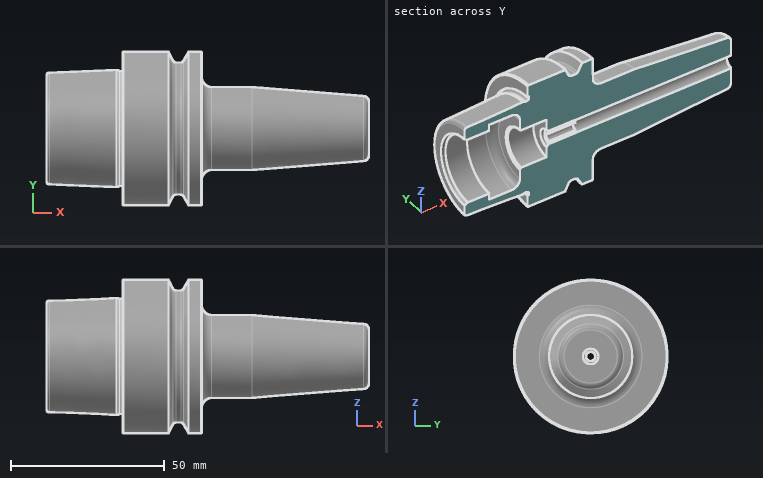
import cadquery as cq
import math


taper_end_fillet = 1.0
taper_small_radius = 18.1
taper_large_radius = 19.1
taper_length = 22.9
neck_radius = 18.8
neck_start = 23.7

flange_radius = 50.0 / 2
flange_start = 24.8
flange_end = 50.6
flange_chamfer = 0.3
recess_radius = 20.1
recess_depth = 0.6
recess_fillet = 0.9
groove_start = 39.7
groove_end = 46.3
groove_floor_radius = 21.5
rear_flank_angle = 27.0
rear_flank_fillet = 1.0
front_flank_angle = 30.0
front_flank_fillet = 0.9

total_length = 104.9
shank_radius = 13.5
shank_root_fillet = 3.1
shank_taper_start = 66.8
nose_radius = 10.5
nose_fillet = 2.0

bore_radius = 12.8
bore_mouth_radius = 13.5
mouth_chamfer_angle = 30.0
lip_end = 9.8
undercut_radius = 15.2
undercut_fillet = 3.0
bore_depth = 21.7
socket_radius = 7.6
socket_mouth_radius = 8.1
socket_depth = 10.5
channel_radius = 2.5
channel_mouth_radius = 3.5

screw_length = 10.5
screw_hole_radius = 1.5

socket_floor = bore_depth + socket_depth
screw_start = socket_floor + channel_mouth_radius - channel_radius


def revolve_about_axis(profile):
    """Turn a closed profile, drawn as (x, radius), about the X axis."""
    return profile.close().revolve(360, (0, 0, 0), (1, 0, 0))


def cylinder(start, length, radius):
    return cq.Workplane("YZ", origin=(start, 0, 0)).circle(radius).extrude(length)


def edges_at(x, radius):
    """Select the circular edge of the given radius at position x."""
    margin = 0.05
    return cq.selectors.BoxSelector(
        (x - margin, -radius - margin, -radius - margin),
        (x + margin, radius + margin, radius + margin),
        boundingbox=True,
    )


def make_outer_body():
    """Spindle taper, flange and shank as one turned blank."""
    blank = revolve_about_axis(
        cq.Workplane("XY")
        .moveTo(0, 0)
        .lineTo(0, taper_small_radius)
        .lineTo(taper_length, taper_large_radius)
        .lineTo(neck_start, neck_radius)
        .lineTo(flange_start + recess_depth, neck_radius)
        .lineTo(flange_start + recess_depth, recess_radius)
        .lineTo(flange_start, recess_radius)
        .lineTo(flange_start, flange_radius - flange_chamfer)
        .lineTo(flange_start + flange_chamfer, flange_radius)
        .lineTo(flange_end - flange_chamfer, flange_radius)
        .lineTo(flange_end, flange_radius - flange_chamfer)
        .lineTo(flange_end, shank_radius)
        .lineTo(shank_taper_start, shank_radius)
        .lineTo(total_length, nose_radius)
        .lineTo(total_length, 0)
    )
    blank = blank.edges(edges_at(0, taper_small_radius)).fillet(taper_end_fillet)
    blank = blank.edges(edges_at(flange_start + recess_depth, neck_radius)).fillet(recess_fillet)
    blank = blank.edges(edges_at(flange_end, shank_radius)).fillet(shank_root_fillet)
    return blank.edges(edges_at(total_length, nose_radius)).fillet(nose_fillet)


def make_gripper_groove():
    """Ring with sloped flanks that cuts the V groove into the flange."""
    depth = flange_radius - groove_floor_radius
    floor_start = groove_start + depth * math.tan(math.radians(rear_flank_angle))
    floor_end = groove_end - depth * math.tan(math.radians(front_flank_angle))
    ring = revolve_about_axis(
        cq.Workplane("XY")
        .moveTo(groove_start, flange_radius)
        .lineTo(floor_start, groove_floor_radius)
        .lineTo(floor_end, groove_floor_radius)
        .lineTo(groove_end, flange_radius)
    )
    ring = ring.edges(edges_at(floor_start, groove_floor_radius)).fillet(rear_flank_fillet)
    return ring.edges(edges_at(floor_end, groove_floor_radius)).fillet(front_flank_fillet)


def make_bore():
    """Bore with an undercut behind its lip, then the socket and the channel."""
    mouth_length = (bore_mouth_radius - bore_radius) / math.tan(math.radians(mouth_chamfer_angle))
    socket_chamfer = socket_mouth_radius - socket_radius
    wide_bore = revolve_about_axis(
        cq.Workplane("XY")
        .moveTo(0, 0)
        .lineTo(0, bore_mouth_radius)
        .lineTo(mouth_length, bore_radius)
        .lineTo(lip_end, bore_radius)
        .lineTo(lip_end, undercut_radius)
        .lineTo(bore_depth, undercut_radius)
        .lineTo(bore_depth, 0)
    )
    wide_bore = wide_bore.edges(edges_at(bore_depth, undercut_radius)).fillet(undercut_fillet)
    narrow_bore = revolve_about_axis(
        cq.Workplane("XY")
        .moveTo(bore_depth, 0)
        .lineTo(bore_depth, socket_mouth_radius)
        .lineTo(bore_depth + socket_chamfer, socket_radius)
        .lineTo(socket_floor, socket_radius)
        .lineTo(socket_floor, channel_mouth_radius)
        .lineTo(screw_start, channel_radius)
        .lineTo(total_length, channel_radius)
        .lineTo(total_length, 0)
    )
    return wide_bore.union(narrow_bore)


def make_holder():
    return make_outer_body().cut(make_gripper_groove()).cut(make_bore())


def make_stop_screw():
    """Sleeve that fills the channel just behind its chamfered mouth."""
    sleeve = cylinder(screw_start, screw_length, channel_radius)
    return sleeve.cut(cylinder(screw_start, screw_length, screw_hole_radius))


holder = make_holder()
stop_screw = make_stop_screw()
result = cq.Compound.makeCompound([holder.solids().val(), stop_screw.solids().val()])